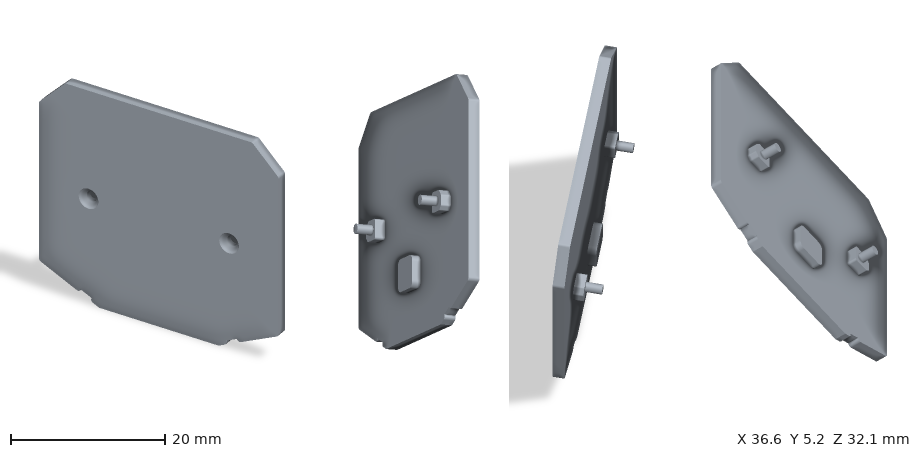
import cadquery as cq
import math

plate_width = 36.6
plate_height = 32.15
plate_thickness = 1.57
top_chamfer = 4.03
lower_corner_z = 4.3
lower_slope_angle = math.radians(25)
plate_corner_radius = 0.5

notch_start = 6.8
notch_length = 1.83
notch_depth = 0.5
notch_lip_radius = 0.45

pin_x = 10.72
pin_z = 15.9
countersink_diameter = 3.0
hole_diameter = 1.5
countersink_depth = 0.77
pin_diameter = 1.3
total_depth = 5.2

pad_outer_x = 12.45
pad_width = 2.93
pad_bottom_z = 14.45
pad_height = 2.75
pad_thickness = 1.4
pad_upper_chamfer = 0.77
pad_lower_chamfer = 0.55
pad_corner_radius = 0.3

block_width = 4.75
block_height = 4.35
block_center_z = 8.25
block_thickness = 1.17
block_corner_radius = 0.88

half_width = plate_width / 2


def extrude_back(outline, start_y, depth):
    """Extrude a closed (x, z) outline from start_y toward +Y."""
    plane = cq.Workplane("XZ", origin=(0, start_y, 0))
    return plane.polyline(outline).close().extrude(-depth)


def corner_edges(points):
    """Select the plate edges running front to back through the given (x, z) points."""
    selector = None
    reach = 0.05
    for x, z in points:
        box = cq.selectors.BoxSelector(
            (x - reach, 0, z - reach),
            (x + reach, plate_thickness, z + reach),
        )
        selector = box if selector is None else selector + box
    return selector


def mirrored(points):
    return [(-x, z) for x, z in points]


def slope_point(distance, depth):
    """Point along the left sloping edge, measured from its upper end and into the plate."""
    cosine = math.cos(lower_slope_angle)
    sine = math.sin(lower_slope_angle)
    x = -half_width + distance * cosine + depth * sine
    z = lower_corner_z - distance * sine + depth * cosine
    return (x, z)


def make_plate():
    bottom_half_width = half_width - lower_corner_z / math.tan(lower_slope_angle)
    notch_end = notch_start + notch_length
    notch_lips = [slope_point(notch_start, 0), slope_point(notch_end, 0)]
    side_corners = [
        (-half_width + top_chamfer, plate_height),
        (-half_width, plate_height - top_chamfer),
        (-half_width, lower_corner_z),
    ]
    left_outline = side_corners + [
        notch_lips[0],
        slope_point(notch_start, notch_depth),
        slope_point(notch_end, notch_depth),
        notch_lips[1],
        (-bottom_half_width, 0),
    ]
    outline = left_outline + mirrored(left_outline)[::-1]
    plate = extrude_back(outline, 0, plate_thickness)
    rounded_corners = side_corners + mirrored(side_corners)
    plate = plate.edges(corner_edges(rounded_corners)).fillet(plate_corner_radius)
    rounded_lips = notch_lips + mirrored(notch_lips)
    return plate.edges(corner_edges(rounded_lips)).fillet(notch_lip_radius)


def make_pad(side):
    inner_x = pad_outer_x - pad_width
    top_z = pad_bottom_z + pad_height
    outline = [
        (inner_x, pad_bottom_z),
        (pad_outer_x - pad_lower_chamfer, pad_bottom_z),
        (pad_outer_x, pad_bottom_z + pad_lower_chamfer),
        (pad_outer_x, top_z - pad_upper_chamfer),
        (pad_outer_x - pad_upper_chamfer, top_z),
        (inner_x, top_z),
    ]
    sided_outline = [(side * x, z) for x, z in outline]
    pad = extrude_back(sided_outline, plate_thickness, pad_thickness)
    return pad.edges("|Y").fillet(pad_corner_radius)


def make_pin(side):
    plane = cq.Workplane("XZ", origin=(side * pin_x, plate_thickness, pin_z))
    return plane.circle(pin_diameter / 2).extrude(plate_thickness - total_depth)


def make_countersunk_hole(side):
    cone = cq.Solid.makeCone(
        countersink_diameter / 2,
        hole_diameter / 2,
        countersink_depth,
        pnt=cq.Vector(side * pin_x, 0, pin_z),
        dir=cq.Vector(0, 1, 0),
    )
    plane = cq.Workplane("XZ", origin=(side * pin_x, 0, pin_z))
    hole = plane.circle(hole_diameter / 2).extrude(-plate_thickness)
    return hole.union(cq.Workplane(cone))


def make_block():
    plane = cq.Workplane("XZ", origin=(0, plate_thickness, block_center_z))
    block = plane.rect(block_width, block_height).extrude(-block_thickness)
    return block.edges("|Y").fillet(block_corner_radius)


result = make_plate().union(make_block())
for side in (-1, 1):
    result = result.union(make_pad(side)).union(make_pin(side))
    result = result.cut(make_countersunk_hole(side))